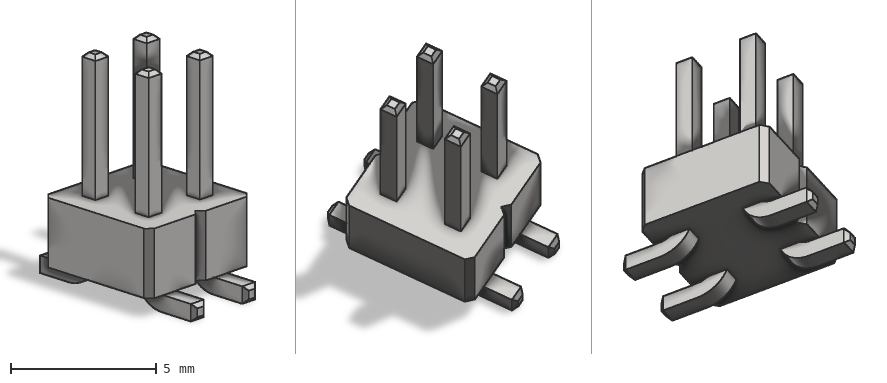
import cadquery as cq
import math

pitch = 2.54
rows = 2
pin_width = 0.64
overall_length = 7.535
overall_height = 8.54
standoff = 0.77
housing_chamfer = 0.254
tip_chamfer = 0.16

housing_width = 2 * pitch
housing_height = pitch
half_pin = pin_width / 2
pin_x = pitch / 2
foot_end_x = overall_length / 2
foot_bottom_z = -standoff
pin_top_z = overall_height - standoff

inner_radius = pin_width
outer_radius = inner_radius + pin_width
bend_x = pin_x - half_pin + outer_radius
bend_z = foot_bottom_z + outer_radius


def housing_cell(y):
    """One row of the housing: a block with its four vertical edges chamfered."""
    return (
        cq.Workplane("XY")
        .center(0, y)
        .rect(housing_width, pitch)
        .extrude(housing_height)
        .edges("|Z")
        .chamfer(housing_chamfer)
    )


def tapered_tip(base_plane):
    """Square frustum that ends a pin, growing along the normal of base_plane."""
    tip_width = pin_width - 2 * tip_chamfer
    return (
        cq.Workplane(base_plane)
        .rect(pin_width, pin_width)
        .workplane(offset=tip_chamfer)
        .rect(tip_width, tip_width)
        .loft(ruled=True)
    )


def bent_pin(y):
    """Pin on the +X side: vertical post, quarter bend and foot pointing to +X."""
    inner_side = pin_x - half_pin
    outer_side = pin_x + half_pin
    post_end_z = pin_top_z - tip_chamfer
    foot_end = foot_end_x - tip_chamfer
    foot_top_z = foot_bottom_z + pin_width
    diagonal = math.sin(math.radians(45))

    def bend_middle(radius):
        return (bend_x - radius * diagonal, bend_z - radius * diagonal)

    post_and_foot = (
        cq.Workplane("XZ", origin=(0, y + half_pin, 0))
        .moveTo(inner_side, post_end_z)
        .lineTo(inner_side, bend_z)
        .threePointArc(bend_middle(outer_radius), (bend_x, foot_bottom_z))
        .lineTo(foot_end, foot_bottom_z)
        .lineTo(foot_end, foot_top_z)
        .lineTo(bend_x, foot_top_z)
        .threePointArc(bend_middle(inner_radius), (outer_side, bend_z))
        .lineTo(outer_side, post_end_z)
        .close()
        .extrude(pin_width)
    )
    top_plane = cq.Plane(origin=(pin_x, y, post_end_z), xDir=(1, 0, 0), normal=(0, 0, 1))
    foot_plane = cq.Plane(
        origin=(foot_end, y, foot_bottom_z + half_pin), xDir=(0, 1, 0), normal=(1, 0, 0)
    )
    return post_and_foot.union(tapered_tip(top_plane)).union(tapered_tip(foot_plane))


row_positions = [(row - (rows - 1) / 2) * pitch for row in range(rows)]

result = cq.Workplane("XY")
for row_y in row_positions:
    result = result.union(housing_cell(row_y))

result = result.clean()

for row_y in row_positions:
    pin = bent_pin(row_y)
    result = result.union(pin).union(pin.mirror("YZ"))